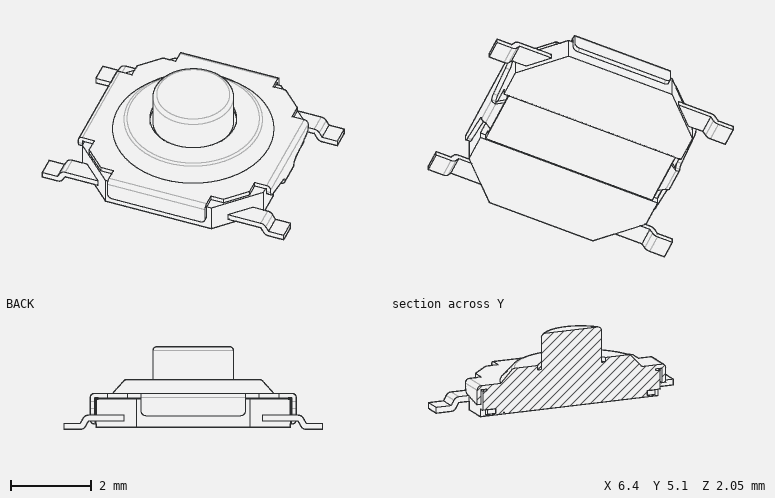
import cadquery as cq
import math

base_bottom = 0.05
base_top = 0.75
cover_top = 0.895
dome_top = 1.24
button_top = 2.05

base_half = 2.4
base_corner_cut = 1.0
film_radius = 2.355

sheet = 0.115
cover_bottom = cover_top - sheet
cover_width = 5.1
cover_half = cover_width / 2
cover_corner_sum = 3.77
lug_half_width = 1.29
end_relief_y = 2.145
side_relief_x = 2.125
bend_radius = 0.11
lug_corner_radius = 0.13
end_lug_bottom = 0.34

hook_bottom = 0.135
hook_half_width = 0.575
hook_end_x = 2.05
taper_start = 0.55
taper_end = 0.36
neck_half_width = 0.31
neck_fillet = 0.13
taper_corner_radius = 0.18

channel_top = 0.09
channel_half_width = 0.71
recess_top = hook_bottom + sheet
recess_depth = 0.14
recess_x = base_half - recess_depth

dome_base_radius = 2.0
dome_top_radius = 1.68
dome_edge_fillet = 0.1
button_radius = 1.0
button_fillet = 0.095
button_gap = 0.08

lead_tip_x = 3.2
lead_root_x = 1.535
lead_y = 1.84
lead_width = 0.48
lead_thickness = 0.155
lead_rise = 0.205
lead_bend_x = 2.8
lead_slope = math.radians(60)
lead_outer_radius = 0.155


def block(x_min, x_max, half_width, z_min, z_max):
    """Box centred on Y = 0."""
    return cq.Workplane("XY").box(
        x_max - x_min, 2 * half_width, z_max - z_min, centered=(False, True, False)
    ).translate((x_min, 0, z_min))


def both_sides(shape):
    """The shape together with its copy turned half way round Z."""
    return shape.union(shape.rotate((0, 0, 0), (0, 0, 1), 180))


def hook_recess():
    """Shallow recess on the +X side with a pocket behind it that takes the hook."""
    recess = block(recess_x, base_half, channel_half_width, base_bottom, recess_top)
    pocket = block(hook_end_x, recess_x, hook_half_width, hook_bottom, recess_top)
    return recess.union(pocket)


def make_base():
    base = block(-base_half, base_half, base_half, base_bottom, base_top)
    base = base.edges("|Z").chamfer(base_corner_cut)
    channel = block(-base_half, base_half, channel_half_width, base_bottom, channel_top)
    return base.cut(channel).cut(both_sides(hook_recess()))


def make_film():
    """Thin disc between the base and the cover."""
    return (
        cq.Workplane("XY").workplane(offset=base_top)
        .circle(film_radius).extrude(cover_bottom - base_top)
    )


def make_cover_plate():
    """Flat top of the cover between its four lugs."""
    quarter = [
        (cover_half - bend_radius, lug_half_width),
        (side_relief_x, lug_half_width),
        (side_relief_x, cover_corner_sum - side_relief_x),
        (cover_corner_sum - end_relief_y, end_relief_y),
        (lug_half_width, end_relief_y),
        (lug_half_width, cover_half - bend_radius),
    ]
    mirrored = [(-x, y) for x, y in reversed(quarter)]
    upper_half = quarter + mirrored
    lower_half = [(-x, -y) for x, y in upper_half]
    return (
        cq.Workplane("XY").workplane(offset=cover_bottom)
        .polyline(upper_half + lower_half).close().extrude(sheet)
    )


def make_end_lug():
    """Plain lug bent down on the +X side, with rounded lower corners."""
    inner_x = cover_half - sheet
    lug = block(inner_x, cover_half, lug_half_width, end_lug_bottom, cover_top)
    lug = lug.edges("|X and <Z").fillet(lug_corner_radius)
    shoulder = block(side_relief_x, cover_half, lug_half_width, cover_bottom, cover_top)
    return lug.union(shoulder).edges("|Y and >X and >Z").fillet(bend_radius)


def make_side_lug():
    """Lug bent down on the +X side, narrowing to a neck hooked inwards."""
    inner_x = cover_half - sheet
    section = (
        cq.Workplane("XZ")
        .polyline([
            (side_relief_x, cover_top),
            (cover_half, cover_top),
            (cover_half, hook_bottom),
            (inner_x, hook_bottom),
            (inner_x, cover_bottom),
            (side_relief_x, cover_bottom),
        ]).close()
        .extrude(lug_half_width, both=True)
    )
    section = section.edges("|Y and >X").fillet(bend_radius)
    hook = (
        cq.Workplane("XY").workplane(offset=hook_bottom)
        .polyline([
            (inner_x, -neck_half_width),
            (inner_x, neck_half_width),
            (hook_end_x, hook_half_width),
            (hook_end_x, -hook_half_width),
        ]).close()
        .extrude(sheet)
    )
    right_edge = [
        (neck_half_width, hook_bottom),
        (neck_half_width, taper_end),
        (lug_half_width, taper_start),
        (lug_half_width, cover_top),
    ]
    left_edge = [(-y, z) for y, z in reversed(right_edge)]
    face = cq.Workplane("YZ").polyline(right_edge + left_edge).close().extrude(cover_half)
    rounded_corners = [
        (neck_half_width, taper_end, neck_fillet),
        (lug_half_width, taper_start, taper_corner_radius),
    ]
    for half_width, z, radius in rounded_corners:
        for y in (-half_width, half_width):
            corner = cq.selectors.NearestToPointSelector((cover_half / 2, y, z))
            face = face.edges("|X").edges(corner).fillet(radius)
    return section.intersect(face).union(hook)


def make_cover():
    end_lugs = both_sides(make_end_lug()).rotate((0, 0, 0), (0, 0, 1), 90)
    return make_cover_plate().union(end_lugs).union(both_sides(make_side_lug()))


def make_dome_and_button():
    dome = (
        cq.Workplane("XZ")
        .polyline([
            (0, cover_top),
            (dome_base_radius, cover_top),
            (dome_top_radius, dome_top),
            (0, dome_top),
        ]).close()
        .revolve(360, (0, 0), (0, 1))
        .edges(">Z").fillet(dome_edge_fillet)
    )
    gap = (
        cq.Workplane("XY").workplane(offset=dome_top - sheet)
        .circle(button_radius + button_gap).circle(button_radius).extrude(sheet)
    )
    button = (
        cq.Workplane("XY").workplane(offset=cover_top)
        .circle(button_radius).extrude(button_top - cover_top)
        .faces(">Z").edges().fillet(button_fillet)
    )
    return dome.cut(gap).union(button)


def make_lead():
    """Gull-wing lead pointing along +X, centred on Y = 0."""
    run = lead_rise / math.tan(lead_slope)
    sloped_width = lead_thickness / math.sin(lead_slope)
    under_x = lead_bend_x - sloped_width + lead_thickness / math.tan(lead_slope)
    outline = [
        (lead_tip_x, 0),
        (lead_tip_x, lead_thickness),
        (lead_bend_x, lead_thickness),
        (lead_bend_x - run, lead_thickness + lead_rise),
        (lead_root_x, lead_thickness + lead_rise),
        (lead_root_x, lead_rise),
        (under_x - run, lead_rise),
        (under_x, 0),
    ]
    lead = cq.Workplane("XZ").polyline(outline).close().extrude(lead_width / 2, both=True)
    for x, z in (outline[3], outline[7]):
        outer_corner = cq.selectors.NearestToPointSelector((x, 0, z))
        lead = lead.edges("|Y").edges(outer_corner).fillet(lead_outer_radius)
    return lead


def make_leads():
    lead = make_lead()
    pair = lead.translate((0, lead_y, 0)).union(lead.translate((0, -lead_y, 0)))
    return both_sides(pair)


result = (
    make_base()
    .union(make_film())
    .union(make_cover())
    .union(make_dome_and_button())
    .union(make_leads())
)